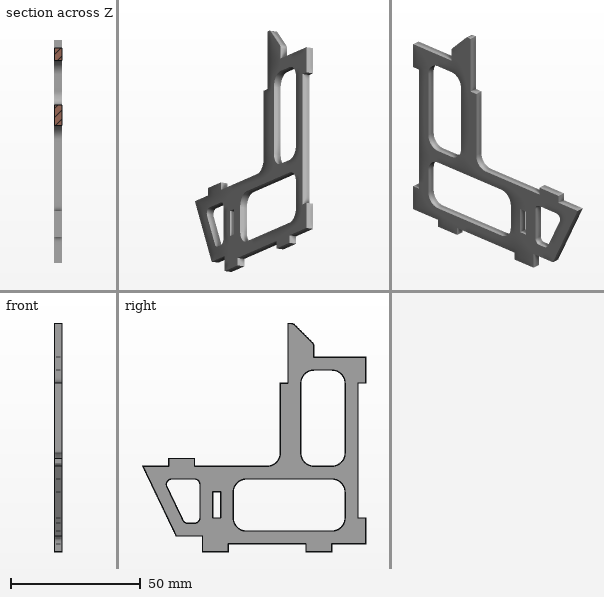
import cadquery as cq
import math

height = 88.0
length = 86.0
thickness = 3.0

tab_depth = 3.0
tab_length = 10.0
bottom_tab_starts = (13.0, 53.0)
arm_tab_start = 66.0

column_front = 33.0
column_shoulder = 65.0
rear_top = 75.0
horn_rear = 20.0
horn_front = column_front - tab_depth
horn_bevel = 8.0
horn_radius = 2.0

arm_top = 33.0
nose_base = 73.0
nose_bottom = 6.0
inner_corner_radius = 5.0

rail_width = 5.0
window_rear = tab_depth + rail_width
window_radius = 5.0
upper_window_length = 17.0
upper_window_height = 37.0
lower_window_length = 43.0
lower_window_height = 20.0
lower_window_bottom = tab_depth + rail_width
slot_rear = 56.0
slot_bottom = 13.0
slot_length = 3.0
slot_height = 10.0
nose_window_rear = 64.0
nose_window_bottom = 11.0
nose_window_radius = 2.0


def plate(points):
    """Plate with a polygonal outline of (distance from rear, height) points."""
    outline = [(-distance, z) for distance, z in points]
    return cq.Workplane("YZ").polyline(outline).close().extrude(thickness)


def block(rear, bottom, block_length, block_height):
    """Rectangular plate placed by its lower rear corner."""
    front = rear + block_length
    top = bottom + block_height
    return plate([(rear, bottom), (front, bottom), (front, top), (rear, top)])


def rounded_window(rear, bottom, window_length, window_height):
    window = block(rear, bottom, window_length, window_height)
    return window.edges("|X").fillet(window_radius)


def round_corner(body, distance, z, radius):
    """Round the outline corner at the given distance from the rear and height."""
    corner = cq.selectors.NearestToPointSelector((thickness / 2, -distance, z))
    return body.edges("|X").edges(corner).fillet(radius)


def make_body():
    front_tab_end = bottom_tab_starts[1] + tab_length
    body = plate([
        (tab_depth, tab_depth),
        (front_tab_end, tab_depth),
        (front_tab_end, nose_bottom),
        (nose_base, nose_bottom),
        (length, arm_top),
        (column_front, arm_top),
        (column_front, column_shoulder),
        (horn_front, column_shoulder),
        (horn_front, height),
        (horn_rear + horn_bevel, height),
        (horn_rear, height - horn_bevel),
        (horn_rear, rear_top),
        (tab_depth, rear_top),
    ])
    body = round_corner(body, column_front, arm_top, inner_corner_radius)
    body = round_corner(body, horn_rear + horn_bevel, height, horn_radius)
    return round_corner(body, horn_rear, height - horn_bevel, horn_radius)


def add_tabs(body):
    for start in bottom_tab_starts:
        body = body.union(block(start, 0, tab_length, tab_depth))
    body = body.union(block(arm_tab_start, arm_top, tab_length, tab_depth))
    for bottom in (tab_depth, rear_top - tab_length):
        body = body.union(block(0, bottom, tab_depth, tab_length))
    return body


def make_nose_window():
    """Four-sided window whose front side is parallel to the slanted nose."""
    slope = (length - nose_base) / (arm_top - nose_bottom)
    horizontal_rail = rail_width * math.hypot(1, slope)
    top = arm_top - rail_width

    def front_at(z):
        return nose_base + slope * (z - nose_bottom) - horizontal_rail

    window = plate([
        (nose_window_rear, nose_window_bottom),
        (front_at(nose_window_bottom), nose_window_bottom),
        (front_at(top), top),
        (nose_window_rear, top),
    ])
    return window.edges("|X").fillet(nose_window_radius)


result = add_tabs(make_body())
result = result.cut(rounded_window(window_rear, arm_top, upper_window_length, upper_window_height))
result = result.cut(rounded_window(window_rear, lower_window_bottom, lower_window_length, lower_window_height))
result = result.cut(block(slot_rear, slot_bottom, slot_length, slot_height))
result = result.cut(make_nose_window())